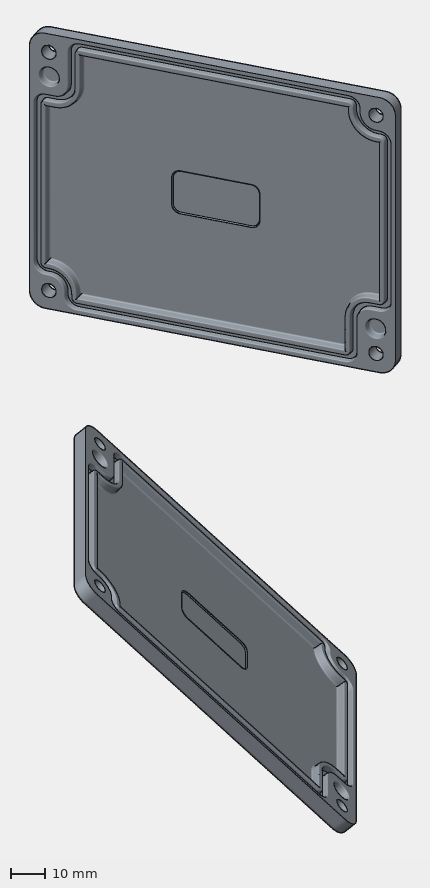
import cadquery as cq
import math

length = 115.4
height = 90.4
thickness = 5.2
corner_radius = 5.0
back_edge_radius = 1.0

land_width = 1.1
groove_width = 2.8
groove_depth = 2.0
rib_width = 0.9
pocket_depth = 2.5
floor_radius = 0.5
lip_radius = 0.3
draft_angle = 5.0

outline_corner_radius = groove_width + rib_width + lip_radius
screw_bend_radius = 4.7
socket_bend_x = 49.6
socket_bend_z = 29.2
socket_bend_radius = 3.8

screw_x = 51.6
screw_z = 39.1
screw_diameter = 4.5
socket_x = 51.5
socket_z = 31.0
socket_mouth_diameter = 6.9
socket_depth = 2.5

label_length = 27.8
label_height = 14.1
label_corner_radius = 2.8
label_depth = 0.5
label_floor_chamfer = 0.3

front_y = -thickness / 2
pocket_floor_y = front_y + pocket_depth


def front_plane(y):
    """Workplane at depth y whose local axes are X and Z and which extrudes toward -Y."""
    return cq.Workplane("XZ", origin=(0, y, 0))


def corner_path(inset, sign_x, sign_z):
    """Points of one corner, from its long side (top or bottom) to its short side.

    Alternates line ends and arc midpoints: convex arc, concave arc, convex arc.
    """
    if sign_x * sign_z < 0:
        bend_x, bend_z, bend_radius = socket_bend_x, socket_bend_z, socket_bend_radius
    else:
        bend_x, bend_z, bend_radius = screw_x, screw_z, screw_bend_radius
    side_x = length / 2 - land_width - inset
    side_z = height / 2 - land_width - inset
    convex = max(outline_corner_radius - inset, 0)
    concave = bend_radius + inset
    notch_x = bend_x - concave
    notch_z = bend_z - concave
    diagonal = math.sqrt(0.5)
    trim = convex * (1 - diagonal)
    points = [
        (notch_x - convex, side_z),
        (notch_x - trim, side_z - trim),
        (notch_x, side_z - convex),
        (notch_x, bend_z),
        (bend_x - concave * diagonal, bend_z - concave * diagonal),
        (bend_x, notch_z),
        (side_x - convex, notch_z),
        (side_x - trim, notch_z - trim),
        (side_x, notch_z - convex),
    ]
    return [(sign_x * x, sign_z * z) for x, z in points]


def groove_outline(inset, y):
    """Closed outline running parallel to the land edge, moved inward by inset."""
    sharp = outline_corner_radius - inset < 1.15e-06
    corners = [
        corner_path(inset, 1, 1),
        corner_path(inset, 1, -1)[::-1],
        corner_path(inset, -1, -1),
        corner_path(inset, -1, 1)[::-1],
    ]
    path = front_plane(y).moveTo(*corners[0][0])
    for index, corner in enumerate(corners):
        if index > 0:
            path = path.lineTo(*corner[0])
        if not sharp:
            path = path.threePointArc(corner[1], corner[2])
        path = path.lineTo(*corner[3]).threePointArc(corner[4], corner[5]).lineTo(*corner[6])
        if not sharp:
            path = path.threePointArc(corner[7], corner[8])
    return path.close()


def drafted_body(front_inset, depth, draft):
    """Solid from the front face down to depth; positive draft narrows it toward the floor."""
    floor_inset = front_inset + depth * math.tan(math.radians(draft))
    front = groove_outline(front_inset, front_y).wires().val()
    floor = groove_outline(floor_inset, front_y + depth).wires().val()
    return cq.Workplane(cq.Solid.makeLoft([front, floor], True))


def make_plate():
    plate = front_plane(thickness / 2).rect(length, height).extrude(thickness)
    plate = plate.edges("|Y").fillet(corner_radius)
    return plate.faces(">Y").edges().fillet(back_edge_radius)


def make_groove():
    outer = drafted_body(lip_radius, groove_depth, draft_angle)
    island = drafted_body(groove_width - lip_radius, groove_depth, -draft_angle)
    return outer.cut(island)


def make_pocket():
    pocket = drafted_body(groove_width + rib_width + lip_radius, pocket_depth, draft_angle)
    return pocket.faces(">Y").edges().fillet(floor_radius)


def round_lips(body):
    """Round every edge of the front face except the outer edge of the plate."""
    reach_x = (length - land_width) / 2
    reach_z = (height - land_width) / 2
    inside = cq.selectors.BoxSelector(
        (-reach_x, -thickness, -reach_z), (reach_x, thickness, reach_z), boundingbox=True
    )
    return body.faces("<Y").edges(inside).fillet(lip_radius)


def make_label():
    label = front_plane(pocket_floor_y + label_depth).rect(label_length, label_height)
    label = label.extrude(label_depth).edges("|Y").fillet(label_corner_radius)
    return label.faces(">Y").edges().chamfer(label_floor_chamfer)


def make_screw_holes():
    centres = [(x, z) for x in (-screw_x, screw_x) for z in (-screw_z, screw_z)]
    holes = front_plane(thickness / 2).pushPoints(centres).circle(screw_diameter / 2)
    return holes.extrude(thickness)


def make_socket(x, z):
    """Blind round socket with a drafted wall and a rounded floor edge."""
    front_radius = socket_mouth_diameter / 2 - lip_radius
    floor_wall_radius = front_radius - socket_depth * math.tan(math.radians(draft_angle))
    cone = cq.Solid.makeCone(
        front_radius, floor_wall_radius, socket_depth, cq.Vector(x, front_y, z), cq.Vector(0, 1, 0)
    )
    return cq.Workplane(cone).faces(">Y").edges().fillet(floor_radius)


recessed_plate = (
    make_plate()
    .cut(make_groove())
    .cut(make_pocket())
    .cut(make_socket(-socket_x, socket_z))
    .cut(make_socket(socket_x, -socket_z))
)
result = round_lips(recessed_plate).cut(make_label()).cut(make_screw_holes())